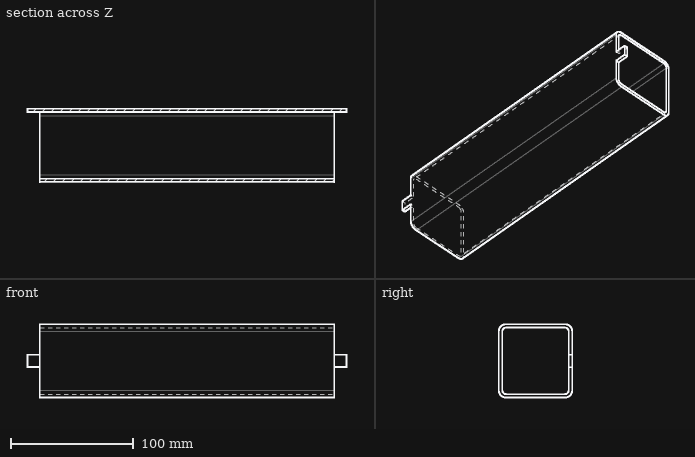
import cadquery as cq

tube_length = 240.0
tube_width = 60.0
wall = 3.0
outer_radius = 6.0
inner_radius = outer_radius - wall

tab_length = 10.0
tab_height = 10.0


def rounded_bar(width, corner_radius):
    """Square bar of the tube's length with rounded lengthwise edges."""
    return cq.Workplane("XY").box(tube_length, width, width).edges("|X").fillet(corner_radius)


def make_tube():
    bore_width = tube_width - 2 * wall
    return rounded_bar(tube_width, outer_radius).cut(rounded_bar(bore_width, inner_radius))


def make_tab_strip():
    """Strip inside the +Y wall whose two ends project as the tabs."""
    strip_length = tube_length + 2 * tab_length
    wall_centre_y = (tube_width - wall) / 2
    return cq.Workplane("XY").box(strip_length, wall, tab_height).translate((0, wall_centre_y, 0))


result = make_tube().union(make_tab_strip())